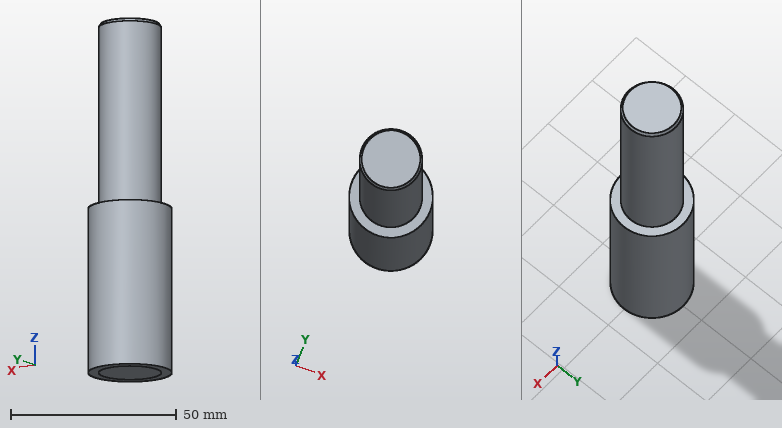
import cadquery as cq

total_height = 108.0
sleeve_height = 50.9
sleeve_diameter = 25.4
pin_diameter = 19.0
tip_chamfer_height = 1.0
tip_chamfer_width = 0.6


def make_pin():
    """Full-length round pin with a chamfered top end."""
    radius = pin_diameter / 2
    profile = (
        cq.Workplane("XZ")
        .moveTo(0, 0)
        .lineTo(radius, 0)
        .lineTo(radius, total_height - tip_chamfer_height)
        .lineTo(radius - tip_chamfer_width, total_height)
        .lineTo(0, total_height)
        .close()
    )
    return profile.revolve(360, (0, 0), (0, 1))


def make_sleeve():
    """Plain tube fitted around the lower part of the pin."""
    return cq.Workplane("XY").circle(sleeve_diameter / 2).circle(pin_diameter / 2).extrude(sleeve_height)


pin = make_pin()
sleeve = make_sleeve()

result = cq.Compound.makeCompound([pin.val(), sleeve.val()])